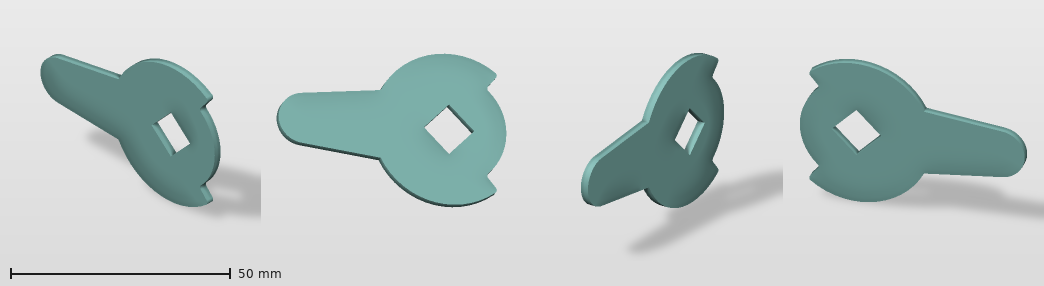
import cadquery as cq
import math

length = 53.5
thickness = 2.0
disc_radius = 18.0
nose_radius = 13.5
nose_half_angle = 50.0
step_fillet = 0.8
handle_end_radius = 6.0
handle_taper = 6.5
square_side = 8.35

handle_end_x = -(length - nose_radius - handle_end_radius)


def polar(radius, angle):
    """Point at a radius and an angle in degrees about the disc axis."""
    a = math.radians(angle)
    return (radius * math.cos(a), radius * math.sin(a))


def mirrored(point):
    """Point reflected across the X axis."""
    return (point[0], -point[1])


def plate(sketch):
    """Extrude a closed XZ outline to the plate thickness, centred on Y."""
    return sketch.extrude(thickness / 2, both=True)


def cam_disc():
    """Large disc that steps down to a smaller nose radius on the +X side."""
    step_top = polar(disc_radius, nose_half_angle)
    nose_top = polar(nose_radius, nose_half_angle)
    outline = (
        cq.Workplane("XZ")
        .moveTo(*step_top)
        .threePointArc((-disc_radius, 0), mirrored(step_top))
        .lineTo(*mirrored(nose_top))
        .threePointArc((nose_radius, 0), nose_top)
        .close()
    )
    step_corners = cq.selectors.BoxSelector(
        (0, -thickness, -disc_radius), (disc_radius, thickness, disc_radius)
    )
    return plate(outline).edges("|Y").edges(step_corners).fillet(step_fillet)


def handle():
    """Tapered arm with a round end tangent to both edges."""
    taper = math.radians(handle_taper)
    tangent_x = handle_end_x - handle_end_radius * math.sin(taper)
    tangent_z = handle_end_radius * math.cos(taper)
    root_z = tangent_z - tangent_x * math.tan(taper)
    outline = (
        cq.Workplane("XZ")
        .moveTo(0, root_z)
        .lineTo(tangent_x, tangent_z)
        .threePointArc((handle_end_x - handle_end_radius, 0), (tangent_x, -tangent_z))
        .lineTo(0, -root_z)
        .close()
    )
    return plate(outline)


def square_hole():
    """Square drive hole standing on its corner."""
    square = cq.Workplane("XZ").rect(square_side, square_side)
    return plate(square).rotate((0, 0, 0), (0, 1, 0), 45)


result = cam_disc().union(handle()).cut(square_hole())